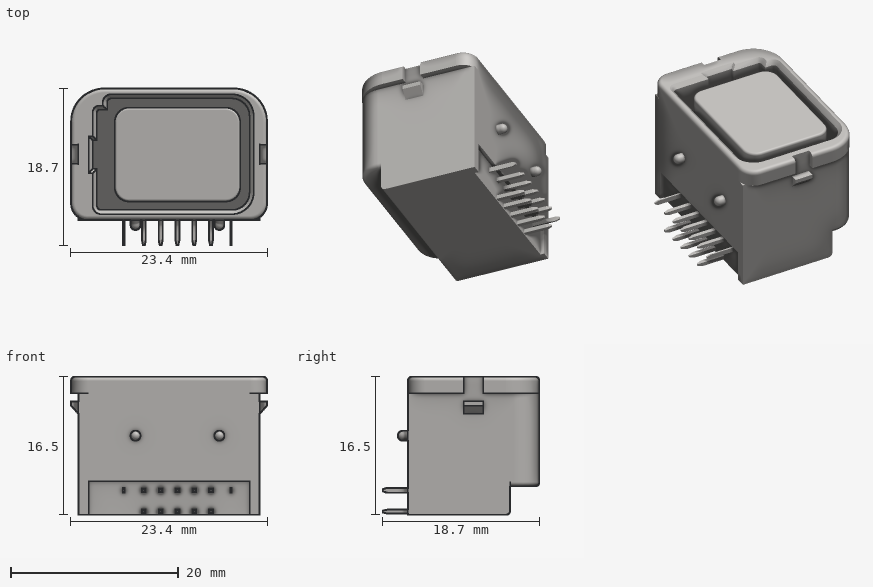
import cadquery as cq


body_half_width = 10.8
body_depth = 15.7
height = 16.5
body_back_radius = 3.0
step_height = 3.4
step_depth = 3.5
edge_round = 0.5

rim_half_width = 11.7
rim_height = 2.0
rim_back_radius = 4.0
rim_front_radius = 2.0
rim_bottom = height - rim_height

latch_y = 7.85
latch_width = 2.3
latch_top = 13.55
latch_lip = 0.5
latch_slope_height = 1.0

cavity_left = -8.6
cavity_right = 9.6
cavity_front = 1.2
cavity_back = 14.5
cavity_right_radius = 2.1
cavity_left_radius = 0.5
cavity_chamfer = 0.5
cavity_wall = cavity_front
cavity_floor = step_height + cavity_wall
corner_key_x = -7.4
corner_key_y = 13.15
corner_key_radius = 0.3
key_slot_depth = 0.5
key_slot_width = 3.4

plug_x = 1.0
plug_y = 7.8
plug_width = 14.95
plug_depth = 11.2
plug_top = height
plug_radius = 1.7
plug_round = 0.3

recess_half_width = 9.6
recess_height = 4.0
recess_depth = 0.5

pin_length = 3.0
pin_size = 0.5
pin_tip_size = 0.25
pin_tip_length = 0.6
pin_pitch = 2.0
pins_per_row = 5
lower_row_z = 0.4
row_pitch = 2.54
upper_row_z = lower_row_z + row_pitch
shield_pin_offset = 6.4
shield_pin_width = 0.2
shield_pin_height = 0.6
shield_tip_length = 0.45
shield_tip_height = 0.25
peg_radius = 0.6
peg_straight = 0.6
peg_offset = 5.0
peg_z = 9.45


def block(x_min, x_max, y_min, y_max, z_min, z_max):
    """Box given by its limits along each axis."""
    size = (x_max - x_min, y_max - y_min, z_max - z_min)
    return cq.Workplane("XY").box(*size, centered=False).translate((x_min, y_min, z_min))


def make_housing():
    """Upper block with a rounded rear overhang, standing on a shorter base."""
    upper = block(-body_half_width, body_half_width, 0, body_depth, step_height, rim_bottom)
    upper = upper.edges("|Z and >Y").fillet(body_back_radius)
    upper = upper.faces("<Z").edges("not <Y").fillet(edge_round)
    base_back = body_depth - step_depth
    base = block(-body_half_width, body_half_width, 0, base_back, 0, rim_bottom)
    base = base.edges("<Z and >Y").fillet(edge_round)
    return upper.union(base)


def make_rim():
    """Overhanging rim with a rounded top edge and a gap above each latch."""
    rim = block(-rim_half_width, rim_half_width, 0, body_depth, rim_bottom, height)
    rim = rim.edges("|Z and >Y").fillet(rim_back_radius)
    rim = rim.edges("|Z and <Y").fillet(rim_front_radius)
    rim = rim.faces(">Z").edges().fillet(edge_round)
    gap_front = latch_y - latch_width / 2
    gap_back = latch_y + latch_width / 2
    gap = block(body_half_width, rim_half_width, gap_front, gap_back, rim_bottom, height)
    return rim.cut(gap).cut(gap.mirror("YZ"))


def make_latch():
    """Right-hand latch: flat on top, with a sloping underside."""
    lip_bottom = latch_top - latch_lip
    profile = [
        (body_half_width, latch_top),
        (rim_half_width, latch_top),
        (rim_half_width, lip_bottom),
        (body_half_width, lip_bottom - latch_slope_height),
    ]
    latch = cq.Workplane("XZ").polyline(profile).close().extrude(latch_width / 2, both=True)
    return latch.translate((0, latch_y, 0))


def make_cavity():
    """Mouth cavity with a corner key and a key slot, open at the top."""
    main = block(cavity_left, cavity_right, cavity_front, cavity_back, cavity_floor, height)
    main = main.edges("|Z and >X").fillet(cavity_right_radius)
    main = main.edges("|Z and <X and <Y").fillet(cavity_left_radius)
    corner_key = block(cavity_left, corner_key_x, corner_key_y, cavity_back, cavity_floor, height)
    cavity = main.cut(corner_key)
    cavity = rounded_corner(cavity, corner_key_x, cavity_back, cavity_left_radius)
    cavity = rounded_corner(cavity, cavity_left, corner_key_y, corner_key_radius)
    slot = block(
        cavity_left - key_slot_depth, cavity_left,
        plug_y - key_slot_width / 2, plug_y + key_slot_width / 2,
        cavity_floor, height,
    )
    return cavity.union(slot)


def rounded_corner(solid, x, y, radius):
    """Round the vertical edge of the solid that stands at (x, y)."""
    middle = (x, y, (cavity_floor + height) / 2)
    edge = solid.edges("|Z").edges(cq.selectors.NearestToPointSelector(middle))
    return solid.newObject(edge.vals()).fillet(radius)


def make_plug():
    """Rounded plug rising from the cavity floor."""
    plug = cq.Workplane("XY").rect(plug_width, plug_depth).extrude(plug_top - cavity_floor)
    plug = plug.edges("|Z").fillet(plug_radius)
    plug = plug.faces(">Z").edges().fillet(plug_round)
    return plug.translate((plug_x, plug_y, cavity_floor))


def make_pin(x, z, width, tall, tip_width, tip_tall, tip_length):
    """Rectangular contact along -Y with a tapered tip, rooted in the recess floor."""
    straight = pin_length - tip_length
    face = cq.Workplane("XZ", origin=(x, recess_depth, z))
    shank = face.rect(width, tall).extrude(recess_depth + straight)
    tip_start = cq.Workplane("XZ", origin=(x, -straight, z)).rect(width, tall)
    tip = tip_start.workplane(offset=tip_length).rect(tip_width, tip_tall).loft()
    return shank.union(tip)


def make_peg(x):
    """Locating peg with a hemispherical end."""
    peg = cq.Workplane("XZ", origin=(x, 0, peg_z)).circle(peg_radius).extrude(peg_straight)
    dome = cq.Workplane("XY").sphere(peg_radius).translate((x, -peg_straight, peg_z))
    return peg.union(dome)


result = make_housing().union(make_rim())
result = result.cut(make_cavity())
mouth_edges = result.faces(">Z").val().innerWires()[0].Edges()
result = result.newObject(mouth_edges).chamfer(cavity_chamfer)
result = result.union(make_plug())

latch = make_latch()
result = result.union(latch).union(latch.mirror("YZ"))

recess = block(-recess_half_width, recess_half_width, 0, recess_depth, 0, recess_height)
result = result.cut(recess)

for index in range(pins_per_row):
    pin_x = plug_x + (index - (pins_per_row - 1) / 2) * pin_pitch
    for row_z in (lower_row_z, upper_row_z):
        pin = make_pin(pin_x, row_z, pin_size, pin_size, pin_tip_size, pin_tip_size, pin_tip_length)
        result = result.union(pin)

for side in (-1, 1):
    shield_pin_x = plug_x + side * shield_pin_offset
    shield_pin = make_pin(
        shield_pin_x, upper_row_z,
        shield_pin_width, shield_pin_height,
        shield_pin_width, shield_tip_height, shield_tip_length,
    )
    result = result.union(shield_pin)
    result = result.union(make_peg(plug_x + side * peg_offset))